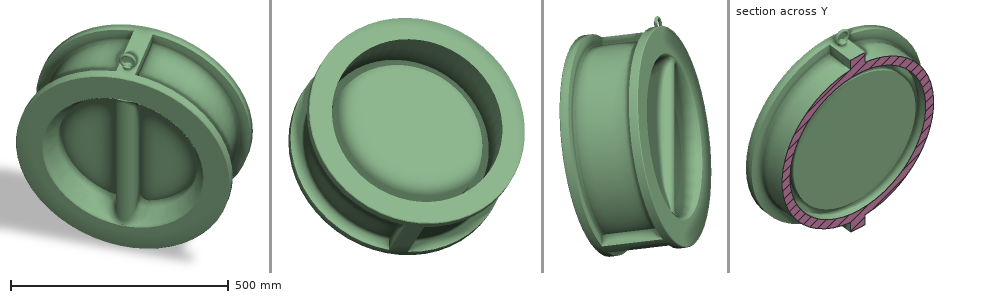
import cadquery as cq

flange_radius = 514.0 / 2
housing_length = 191.0
flange_thickness = 21.5
barrel_radius = 228.5
flange_draft = 2.0
barrel_fillet = 5.0
rim_chamfer = 1.5
front_y = -housing_length / 2
back_y = housing_length / 2
recess_length = housing_length - 2 * flange_thickness

rib_width = 45.0

inlet_radius = 191.5
inlet_edge_chamfer = 1.4
throat_radius = 167.0
throat_front_y = -54.0
seat_y = -28.0
outlet_radius = 406.0 / 2

bar_width = 46.0
bar_front_y = -94.0
bar_fillet = 16.5

plate_radius = 183.5
plate_thickness = 16.5

eye_y = -55.5
eye_top_z = 555.5 - flange_radius
eye_wire_radius = 8.0 / 2
eye_ring_radius = 16.5
eye_center_z = eye_top_z - eye_ring_radius - eye_wire_radius
collar_radius = 20.0 / 2
collar_top_z = flange_radius + 7.0


def disc(radius, start_y, end_y):
    """Cylinder on the flow axis between two Y positions."""
    plane = cq.Workplane("XZ", origin=(0, start_y, 0))
    return plane.circle(radius).extrude(start_y - end_y)


def make_recess():
    """Ring cleared between the flanges: drafted side walls, filleted into the barrel."""
    half_root = recess_length / 2 - flange_draft
    outer_radius = 2 * flange_radius
    wall_slope = flange_draft / (flange_radius - barrel_radius)
    half_outer = half_root + wall_slope * (outer_radius - barrel_radius)
    ring = (
        cq.Workplane("XY")
        .moveTo(barrel_radius, -half_root)
        .lineTo(outer_radius, -half_outer)
        .lineTo(outer_radius, half_outer)
        .lineTo(barrel_radius, half_root)
        .close()
        .revolve(360, (0, 0, 0), (0, 1, 0))
    )
    return ring.edges(cq.selectors.RadiusNthSelector(0)).fillet(barrel_fillet)


def make_outer_shell():
    """Flanged barrel with stiffening ribs, before boring."""
    shell = disc(flange_radius, front_y, back_y).edges().chamfer(rim_chamfer)
    envelope = disc(flange_radius, front_y, back_y)
    shell = shell.cut(make_recess())
    ribs = cq.Workplane("XY").box(rib_width, recess_length, 2 * flange_radius).intersect(envelope)
    return shell.union(ribs)


def make_bore():
    """Inlet flow space: cone and throat, less the centre bar and its end fillets."""
    cone_slope = (inlet_radius - throat_radius) / (throat_front_y - front_y)
    overrun = 33.5
    cone_start_y = front_y - overrun
    cone_start_radius = inlet_radius + cone_slope * overrun
    flow_space = (
        cq.Workplane("XY")
        .moveTo(0, cone_start_y)
        .lineTo(cone_start_radius, cone_start_y)
        .lineTo(throat_radius, throat_front_y)
        .lineTo(throat_radius, seat_y)
        .lineTo(0, seat_y)
        .close()
        .revolve(360, (0, 0, 0), (0, 1, 0))
    )
    half_width = bar_width / 2
    round_center_y = bar_front_y + half_width
    bar = (
        cq.Workplane("XY", origin=(0, 0, -flange_radius))
        .moveTo(-half_width, seat_y)
        .lineTo(-half_width, round_center_y)
        .threePointArc((0, bar_front_y), (half_width, round_center_y))
        .lineTo(half_width, seat_y)
        .close()
        .extrude(2 * flange_radius)
    )
    flow_space = flow_space.cut(bar)
    margin = 0.5
    end_reach = half_width + margin
    end_height = flange_radius - throat_radius
    for side in (-1, 1):
        end_box = cq.selectors.BoxSelector(
            (-end_reach, bar_front_y - margin, side * (throat_radius - half_width)),
            (end_reach, seat_y - margin, side * (throat_radius + end_height)),
        )
        flow_space = flow_space.edges(end_box).fillet(bar_fillet)
    return flow_space


def make_inlet_edge():
    """Chamfer ring around the mouth of the inlet cone."""
    mouth_radius = inlet_radius + inlet_edge_chamfer
    inner_radius = inlet_radius - inlet_edge_chamfer
    return (
        cq.Workplane("XY")
        .moveTo(inner_radius, front_y)
        .lineTo(mouth_radius, front_y)
        .lineTo(inner_radius, front_y + 2 * inlet_edge_chamfer)
        .close()
        .revolve(360, (0, 0, 0), (0, 1, 0))
    )


def make_housing():
    outlet = disc(outlet_radius, seat_y, back_y)
    return make_outer_shell().cut(outlet).cut(make_bore()).cut(make_inlet_edge())


def make_plate(side):
    """Half disc on one side of X = 0, with its upstream face on the seat."""
    whole = disc(plate_radius, seat_y, seat_y + plate_thickness)
    half_space = cq.Workplane("XY").box(2 * plate_radius, housing_length, 2 * plate_radius)
    return whole.intersect(half_space.translate((side * plate_radius, 0, 0)))


def make_lifting_eye():
    """Wire ring on a round collar that follows the curved top of the rib."""
    ring = cq.Workplane(
        cq.Solid.makeTorus(
            eye_ring_radius, eye_wire_radius, cq.Vector(0, eye_y, eye_center_z), cq.Vector(0, 1, 0)
        )
    )
    collar_start_z = flange_radius - collar_radius
    collar = (
        cq.Workplane("XY", origin=(0, eye_y, collar_start_z))
        .circle(collar_radius)
        .extrude(collar_top_z - collar_start_z)
    )
    return collar.union(ring).cut(disc(flange_radius, front_y, back_y))


housing = make_housing()
plates = [make_plate(side) for side in (-1, 1)]
lifting_eye = make_lifting_eye()

result = cq.Compound.makeCompound(
    [housing.val(), *[plate.val() for plate in plates], lifting_eye.val()]
)